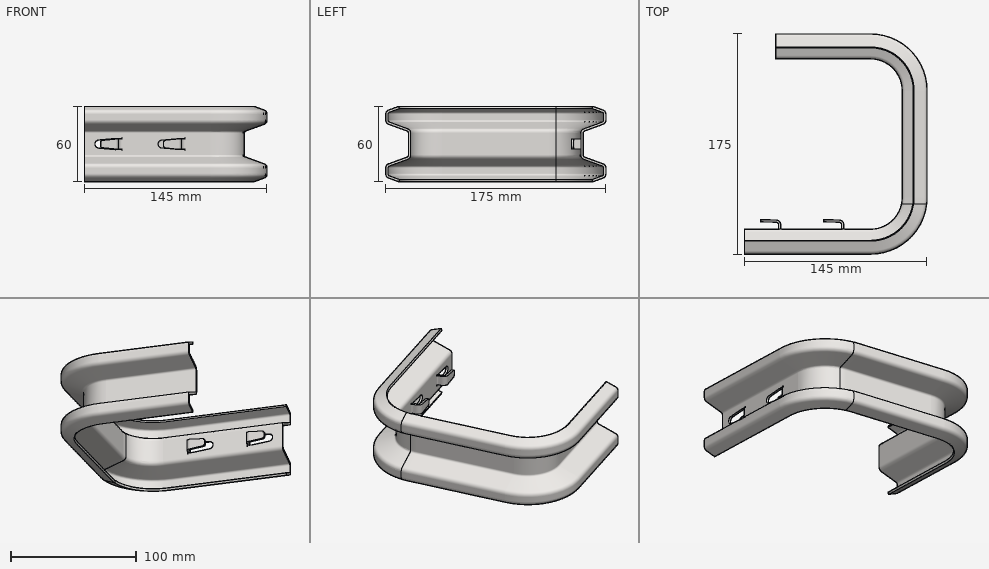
import cadquery as cq
import math

LENGTH_X = 145.0
WIDTH_Y = 175.0
HEIGHT_Z = 60.0
BEND_RADIUS = 45.0
UPPER_ARM_START_X = 24.7
JOINT_OVERRUN = 5.2

THICKNESS = 2.0
INNER_FOLD_RADIUS = 1.8
SECTION_DEPTH = 20.0
FLANK_ANGLE = 20.0
CROWN_HALF_SPACING = 21.4
CROWN_WIDTH = 8.4

SLOT_COUNT = 2
SLOT_PITCH = 50.0
SLOT_START_X = 8.4
SLOT_END_X = 30.0
SLOT_TIP_HALF = 3.2
SLOT_ROOT_HALF = 4.4
RELIEF_HALF = 5.0
RELIEF_WIDTH = 0.26
TAB_TIP_X = 12.8
TAB_TIP_HALF = 2.89
TAB_ROOT_HALF = 4.11
TAB_CORNER_RADIUS = 1.8
TAB_ROOT_INNER_RADIUS = 1.0
TAB_FOLD_INNER_RADIUS = 2.0
TAB_RISE = 6.3
TAB_TILT = 1.5

HALF_SHEET = THICKNESS / 2
FOLD_RADIUS = INNER_FOLD_RADIUS + HALF_SHEET
OUTER_Y = WIDTH_Y / 2
BEND_X = LENGTH_X - BEND_RADIUS
BEND_Y = OUTER_Y - BEND_RADIUS
JOINT_Y = -BEND_Y - JOINT_OVERRUN
WEB_INNER_Y = -OUTER_Y + SECTION_DEPTH
WEB_MIDDLE_Y = WEB_INNER_Y - HALF_SHEET
TAB_LEG_X = SLOT_END_X - TAB_ROOT_INNER_RADIUS - HALF_SHEET
TAB_FOLD_RADIUS = TAB_FOLD_INNER_RADIUS + HALF_SHEET
TAPER_END_X = TAB_LEG_X - TAB_FOLD_RADIUS


def folded_strip(plane, path, radii):
    """Closed outline of a sheet whose middle follows `path`, with one mid-sheet radius per corner."""
    points = [cq.Vector(*point) for point in path]
    headings = [(b - a).normalized() for a, b in zip(points, points[1:])]
    normals = [cq.Vector(-heading.y, heading.x) for heading in headings]

    def side(offset):
        """Start, folds as (arc start, arc middle, arc end) and end of one sheet face."""
        folds = []
        for i, radius in enumerate(radii):
            before, after = normals[i], normals[i + 1]
            turn = math.copysign(1, headings[i].cross(headings[i + 1]).z)
            setback = radius * math.tan(headings[i].getAngle(headings[i + 1]) / 2)
            centre = points[i + 1] - headings[i] * setback + before * (turn * radius)
            reach = offset - turn * radius
            middle = (before + after).normalized()
            folds.append([centre + normal * reach for normal in (before, middle, after)])
        return points[0] + normals[0] * offset, folds, points[-1] + normals[-1] * offset

    left_start, left_folds, left_end = side(HALF_SHEET)
    right_start, right_folds, right_end = side(-HALF_SHEET)
    outline = cq.Workplane(plane).moveTo(left_start.x, left_start.y)
    for start, middle, end in left_folds:
        outline = outline.lineTo(start.x, start.y).threePointArc((middle.x, middle.y), (end.x, end.y))
    outline = outline.lineTo(left_end.x, left_end.y).lineTo(right_end.x, right_end.y)
    for start, middle, end in reversed(right_folds):
        outline = outline.lineTo(end.x, end.y).threePointArc((middle.x, middle.y), (start.x, start.y))
    return outline.lineTo(right_start.x, right_start.y).close()


def rail_section(start_x, start_y, run, inward):
    """Section of the rail: local x is the depth from the outer side, local y is Z."""
    slope = math.tan(math.radians(FLANK_ANGLE))
    crown_depth = HALF_SHEET
    web_depth = SECTION_DEPTH - HALF_SHEET
    crown_outer_z = CROWN_HALF_SPACING + CROWN_WIDTH / 2
    crown_inner_z = CROWN_HALF_SPACING - CROWN_WIDTH / 2
    web_z = crown_inner_z - (web_depth - crown_depth) * slope
    lip_end_z = HEIGHT_Z / 2 - HALF_SHEET * math.cos(math.radians(FLANK_ANGLE))
    lip_end_depth = crown_depth + (lip_end_z - crown_outer_z) / slope
    upper_half = [
        (lip_end_depth, lip_end_z),
        (crown_depth, crown_outer_z),
        (crown_depth, crown_inner_z),
        (web_depth, web_z),
    ]
    lower_half = [(depth, -z) for depth, z in reversed(upper_half)]
    path = upper_half + lower_half
    plane = cq.Plane(origin=(start_x, start_y, 0), xDir=inward, normal=run)
    return folded_strip(plane, path, [FOLD_RADIUS] * (len(path) - 2))


def rail_corner(section):
    """Turn a section 90 degrees to the left around the corner centre."""
    return section.revolve(90, (BEND_RADIUS, 0), (BEND_RADIUS, 1))


def joint_side(towards):
    """Block over the lower corner on one side of the joint plane, `towards` being +1 or -1 along Y."""
    return (
        cq.Workplane("XY")
        .box(LENGTH_X, WIDTH_Y, 2 * HEIGHT_Z)
        .translate((BEND_X + LENGTH_X / 2, JOINT_Y + towards * WIDTH_Y / 2, 0))
    )


def slot_cutter(shift_x):
    """Tapered slot with a round narrow end and a relief slit across the root of the tab."""
    round_centre_x = SLOT_START_X + SLOT_TIP_HALF
    cut_depth = THICKNESS * 2
    plane = cq.Plane(origin=(shift_x, WEB_INNER_Y + HALF_SHEET, 0), xDir=(1, 0, 0), normal=(0, -1, 0))
    slot = (
        cq.Workplane(plane)
        .moveTo(SLOT_END_X, SLOT_ROOT_HALF)
        .lineTo(TAPER_END_X, SLOT_ROOT_HALF)
        .lineTo(round_centre_x, SLOT_TIP_HALF)
        .threePointArc((SLOT_START_X, 0), (round_centre_x, -SLOT_TIP_HALF))
        .lineTo(TAPER_END_X, -SLOT_ROOT_HALF)
        .lineTo(SLOT_END_X, -SLOT_ROOT_HALF)
        .close()
        .extrude(cut_depth)
    )
    relief = (
        cq.Workplane(plane)
        .center(SLOT_END_X - RELIEF_WIDTH / 2, 0)
        .rect(RELIEF_WIDTH, RELIEF_HALF * 2)
        .extrude(cut_depth)
    )
    return slot.union(relief)


def bent_tab(shift_x):
    """Tab folded out of the web at the wide slot end, then folded back over the slot."""
    fold_y = WEB_INNER_Y + TAB_RISE
    tip_y = fold_y + (TAB_LEG_X - TAB_TIP_X) * math.tan(math.radians(TAB_TILT))
    side_path = [
        (SLOT_END_X + THICKNESS, WEB_MIDDLE_Y),
        (TAB_LEG_X, WEB_MIDDLE_Y),
        (TAB_LEG_X, fold_y),
        (TAB_TIP_X, tip_y),
    ]
    radii = [TAB_ROOT_INNER_RADIUS + HALF_SHEET, TAB_FOLD_RADIUS]
    strip_plane = cq.Plane(origin=(0, 0, -TAB_ROOT_HALF))
    strip = folded_strip(strip_plane, side_path, radii).extrude(TAB_ROOT_HALF * 2)

    outline_plane = cq.Plane(origin=(0, WEB_INNER_Y - 2 * THICKNESS, 0), xDir=(1, 0, 0), normal=(0, -1, 0))
    outline = (
        cq.Workplane(outline_plane)
        .polyline([
            (SLOT_END_X, TAB_ROOT_HALF),
            (TAPER_END_X, TAB_ROOT_HALF),
            (TAB_TIP_X, TAB_TIP_HALF),
            (TAB_TIP_X, -TAB_TIP_HALF),
            (TAPER_END_X, -TAB_ROOT_HALF),
            (SLOT_END_X, -TAB_ROOT_HALF),
        ])
        .close()
        .extrude(-2 * SECTION_DEPTH)
        .edges("|Y and <X")
        .fillet(TAB_CORNER_RADIUS)
    )
    return strip.intersect(outline).translate((shift_x, 0, 0))


lower_corner = rail_corner(rail_section(BEND_X, -OUTER_Y, (1, 0, 0), (0, 1, 0)))

side_run = rail_section(LENGTH_X, -BEND_Y, (0, 1, 0), (-1, 0, 0)).extrude(2 * BEND_Y)
upper_corner = rail_corner(rail_section(LENGTH_X, BEND_Y, (0, 1, 0), (-1, 0, 0)))
upper_arm = rail_section(BEND_X, OUTER_Y, (-1, 0, 0), (0, -1, 0)).extrude(BEND_X - UPPER_ARM_START_X)
upper_rail = (
    side_run.union(upper_corner)
    .union(upper_arm)
    .union(lower_corner.intersect(joint_side(1)))
)

lower_rail = rail_section(0, -OUTER_Y, (1, 0, 0), (0, 1, 0)).extrude(BEND_X)
lower_rail = lower_rail.union(lower_corner.intersect(joint_side(-1)))
for index in range(SLOT_COUNT):
    shift = index * SLOT_PITCH
    lower_rail = lower_rail.cut(slot_cutter(shift)).union(bent_tab(shift))

result = cq.Compound.makeCompound([upper_rail.solids().val(), lower_rail.solids().val()])